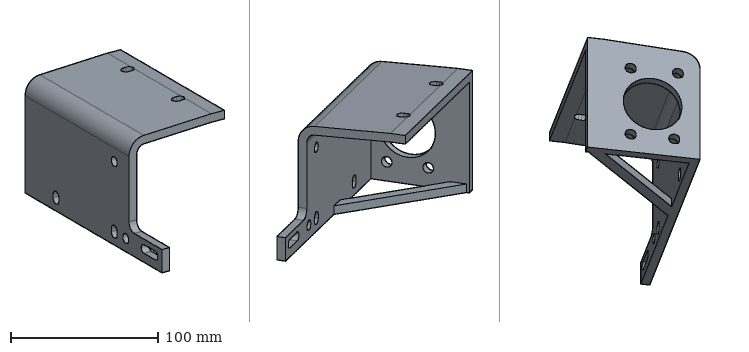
import cadquery as cq
import math

total_length = 167.0
body_length = 127.0
depth = 78.0
height = 87.3
wall = 6.3

roof_flat = 10.7
roof_fall = math.radians(3)
edge_radius = 12.7

tab_height = 17.2
tab_fillet = 6.3

bolt_diameter = 7.0
bolt_slot_length = 9.2
front_row_z = 9.9
front_slot_xs = (37.7, 108.9)
front_hole_points = ((108.9, 61.6), (122.9, front_row_z))
tab_slot_center_x = 151.8
tab_slot_length = 20.0
tab_slot_width = 6.3
roof_slot_xs = (30.7, 92.2)
roof_slot_y = 63.3

bore_diameter = 40.5
bore_y = 32.9
bore_z = 39.9
mount_diameter = 7.5
mount_points = ((48.1, 66.6), (15.4, 66.6), (48.1, 14.0), (17.9, 14.0))

brace_reach = 82.3
brace_width = 8.4
brace_embed = 1.3


def body_profile(inset):
    """Outline of the front wall and roof, open to the back, moved inward by inset."""
    slope_start_y = depth - roof_flat - inset * math.tan(roof_fall / 2)
    top_z = height - inset
    radius = edge_radius - inset
    arc_y = edge_radius
    arc_z = height - (depth - roof_flat - arc_y) * math.tan(roof_fall) - edge_radius / math.cos(roof_fall)

    def arc_point(angle):
        return (arc_y + radius * math.cos(angle), arc_z + radius * math.sin(angle))

    tangent_angle = math.pi / 2 + roof_fall
    middle_angle = (tangent_angle + math.pi) / 2
    return (
        cq.Workplane("YZ")
        .moveTo(inset, 0)
        .lineTo(depth, 0)
        .lineTo(depth, top_z)
        .lineTo(slope_start_y, top_z)
        .lineTo(*arc_point(tangent_angle))
        .threePointArc(arc_point(middle_angle), arc_point(math.pi))
        .close()
    )


def make_shell():
    """End wall, front wall and roof around a space open to the back, right and below."""
    outer = body_profile(0).extrude(body_length)
    inner = body_profile(wall).extrude(body_length - wall).translate((wall, 0, 0))
    return outer.cut(inner)


def make_tab():
    """Low strip past the body, blended into the front wall by a concave fillet."""
    corner_x = body_length + tab_fillet
    corner_z = tab_height + tab_fillet
    arc_offset = tab_fillet * math.sqrt(0.5)
    return (
        cq.Workplane("XZ")
        .moveTo(body_length - wall, 0)
        .lineTo(total_length, 0)
        .lineTo(total_length, tab_height)
        .lineTo(corner_x, tab_height)
        .threePointArc((corner_x - arc_offset, corner_z - arc_offset), (body_length, corner_z))
        .lineTo(body_length - wall, corner_z)
        .close()
        .extrude(-wall)
    )


def make_brace():
    """Bar at 45 degrees whose ends are embedded in the two walls."""
    root = wall - brace_embed
    inner_reach = brace_reach - brace_width * math.sqrt(2)
    outline = [
        (brace_reach - root, root),
        (root, brace_reach - root),
        (root, inner_reach - root),
        (inner_reach - root, root),
    ]
    return cq.Workplane("XY").polyline(outline).close().extrude(wall)


def front_cuts():
    """Round holes and slots through the front wall and its tab."""
    plane = cq.Workplane("XZ")
    slot_points = [(x, front_row_z) for x in front_slot_xs]
    holes = plane.pushPoints(front_hole_points).circle(bolt_diameter / 2).extrude(-wall)
    slots = plane.pushPoints(slot_points).slot2D(bolt_slot_length, bolt_diameter, 90).extrude(-wall)
    tab_slot = (
        plane.center(tab_slot_center_x, front_row_z)
        .slot2D(tab_slot_length, tab_slot_width)
        .extrude(-wall)
    )
    return holes.union(slots).union(tab_slot)


def roof_cuts():
    """Slots through the roof, long in the depth direction."""
    cut_depth = 2 * wall
    slot_points = [(x, roof_slot_y) for x in roof_slot_xs]
    return (
        cq.Workplane("XY", origin=(0, 0, height))
        .pushPoints(slot_points)
        .slot2D(bolt_slot_length, bolt_diameter, 90)
        .extrude(-cut_depth)
    )


def end_cuts():
    """Large bore and four mounting holes through the end wall."""
    plane = cq.Workplane("YZ")
    bore = plane.center(bore_y, bore_z).circle(bore_diameter / 2).extrude(wall)
    mounts = plane.pushPoints(mount_points).circle(mount_diameter / 2).extrude(wall)
    return bore.union(mounts)


bracket = make_shell().union(make_tab()).union(make_brace())
result = bracket.cut(front_cuts()).cut(roof_cuts()).cut(end_cuts())